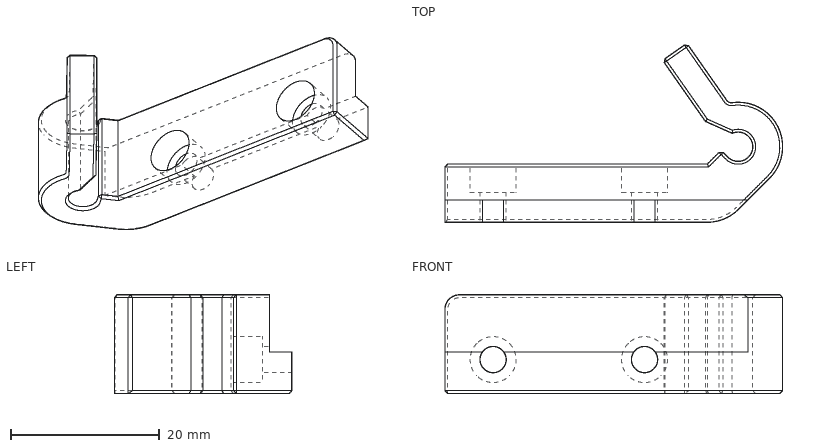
import cadquery as cq
import math

length = 45.5
height = 13.35
back_y = 7.85
ledge_depth = 3.0
ledge_height = 5.65
end_radius = 2.0
edge_chamfer = 0.4

hook_radius = 6.0
seat_radius = 1.95
hook_x = length - hook_radius
hook_y = 10.2
front_blend_radius = 6.0
nub_start_x = 35.35

bend_x = 35.07
throat_angle = math.radians(24)
lever_angle = math.radians(55)
lever_length = 10.05
lever_root_radius = 0.75
lever_thickness = 4.0

hole_diameter = 3.5
counterbore_diameter = 6.2
counterbore_floor_y = 4.0
hole_z = 4.6
first_hole_x = 6.5
hole_spacing = 20.4


def around_hook(radius, angle):
    """Point on a circle about the hook center; the angle is in radians."""
    return hook_x + radius * math.cos(angle), hook_y + radius * math.sin(angle)


flank_top = around_hook(hook_radius, -math.pi / 4)
flank_foot_x = flank_top[0] - flank_top[1]
blend_tangent = front_blend_radius * math.tan(math.pi / 8)
blend_start_x = flank_foot_x - blend_tangent
blend_end = (
    flank_foot_x + blend_tangent * math.cos(math.pi / 4),
    blend_tangent * math.sin(math.pi / 4),
)
blend_middle = (
    blend_start_x + front_blend_radius * math.sin(math.pi / 8),
    front_blend_radius * (1 - math.cos(math.pi / 8)),
)

seat_start = around_hook(seat_radius, -3 * math.pi / 4)
nub_x = (seat_start[0] + seat_start[1] + nub_start_x - back_y) / 2
nub_tip = (nub_x, back_y + nub_x - nub_start_x)

seat_end = around_hook(seat_radius, math.pi / 2 + throat_angle)
bend = (bend_x, seat_end[1] + (seat_end[0] - bend_x) * math.tan(throat_angle))

along = (-math.cos(lever_angle), math.sin(lever_angle))
across = (math.sin(lever_angle), math.cos(lever_angle))
inner_tip = (bend[0] + lever_length * along[0], bend[1] + lever_length * along[1])
outer_tip = (
    inner_tip[0] + lever_thickness * across[0],
    inner_tip[1] + lever_thickness * across[1],
)
outer_offset = (outer_tip[0] - hook_x) * across[0] + (outer_tip[1] - hook_y) * across[1]
lever_root_angle = math.pi / 2 - lever_angle + math.acos(outer_offset / hook_radius)
lever_root = around_hook(hook_radius, lever_root_angle)


def make_blank():
    profile = (
        cq.Workplane("XY")
        .moveTo(0, 0)
        .lineTo(blend_start_x, 0)
        .threePointArc(blend_middle, blend_end)
        .lineTo(*flank_top)
        .threePointArc(around_hook(hook_radius, 0), lever_root)
        .lineTo(*outer_tip)
        .lineTo(*inner_tip)
        .lineTo(*bend)
        .lineTo(*seat_end)
        .threePointArc(around_hook(seat_radius, 0), seat_start)
        .lineTo(*nub_tip)
        .lineTo(nub_start_x, back_y)
        .lineTo(0, back_y)
        .close()
    )
    root = cq.selectors.NearestToPointSelector((*lever_root, height / 2))
    return profile.extrude(height).edges("|Z").edges(root).fillet(lever_root_radius)


def cut_ledge(body):
    above_ledge = cq.Workplane("XY").box(length, ledge_depth, height, centered=False)
    return body.cut(above_ledge.translate((0, 0, ledge_height)))


def round_free_end(body):
    return body.faces("<X").edges(">Z").fillet(end_radius)


def is_chamfered(edge):
    """Select the rim edges and the upright outer corners that are broken."""
    center = edge.Center()
    tip_middle_x = (inner_tip[0] + outer_tip[0]) / 2
    tip_middle_y = (inner_tip[1] + outer_tip[1]) / 2
    near = 0.005
    if center.z < near:
        return math.hypot(center.x - tip_middle_x, center.y - tip_middle_y) > near
    if center.z > height - near:
        return center.y > ledge_depth + near and center.x > end_radius + near
    corners = (outer_tip, inner_tip, nub_tip, (0, back_y))
    return any(math.hypot(center.x - x, center.y - y) < near for x, y in corners)


def break_edges(body):
    rim = [edge for edge in body.edges().vals() if is_chamfered(edge)]
    return body.newObject(rim).chamfer(edge_chamfer)


def bore(x, diameter, start_y):
    """Cylinder along Y from start_y to the rear face at one mounting hole."""
    start = cq.Vector(x, start_y, hole_z)
    return cq.Solid.makeCylinder(diameter / 2, back_y - start_y, start, cq.Vector(0, 1, 0))


def drill_holes(body):
    for x in (first_hole_x, first_hole_x + hole_spacing):
        body = body.cut(cq.Workplane(bore(x, hole_diameter, 0)))
        body = body.cut(cq.Workplane(bore(x, counterbore_diameter, counterbore_floor_y)))
    return body


blank = make_blank()
stepped_body = cut_ledge(blank)
rounded_body = round_free_end(stepped_body)
result = drill_holes(break_edges(rounded_body))